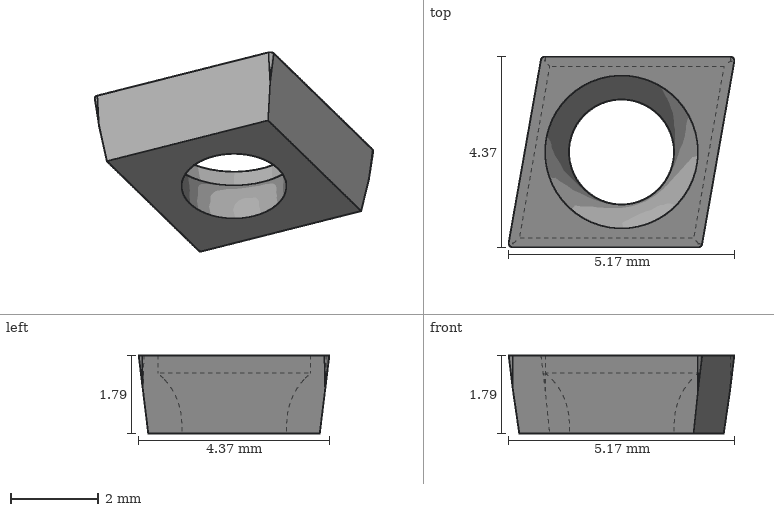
import cadquery as cq
import math

inscribed_diameter = 4.37
thickness = 1.79
acute_angle = math.radians(80)
relief_angle = math.radians(7)
corner_radius = 0.1

mouth_diameter = 3.5
bore_diameter = 2.4
mouth_depth = 0.4
seat_arc_radius = 1.5

corner_depth = corner_radius / math.tan(relief_angle)


def rhombus_corners(inscribed_radius):
    """Corners of the rhombus around a circle, anticlockwise from the front left acute one."""
    half_side = inscribed_radius / math.sin(acute_angle)
    skew = inscribed_radius / math.tan(acute_angle)
    return [
        (-half_side - skew, -inscribed_radius),
        (half_side - skew, -inscribed_radius),
        (half_side + skew, inscribed_radius),
        (-half_side + skew, inscribed_radius),
    ]


def points_at(corners, height):
    """Lift plan corners to a height."""
    return [cq.Vector(x, y, height) for x, y in corners]


def planar_face(points):
    """Flat polygonal face."""
    return cq.Face.makeFromWires(cq.Wire.makePolygon(points, close=True))


def corner_cone_face(apex, start_angle, sweep_angle):
    """Conical rounding of one corner, widening from its apex to the corner radius at the top."""
    sector = cq.Solid.makeCone(
        0, corner_radius, corner_depth, apex, cq.Vector(0, 0, 1), math.degrees(sweep_angle)
    )
    sector = sector.rotate(apex, apex + cq.Vector(0, 0, 1), math.degrees(start_angle))
    return cq.Workplane(sector).faces("%CONE").val()


def make_body():
    """Rhombus with relieved flanks; each edge is rounded at the top and sharp below its cone apex."""
    top_radius = inscribed_diameter / 2
    bottom_radius = top_radius - thickness * math.tan(relief_angle)
    centers = rhombus_corners(top_radius - corner_radius)
    top_centers = points_at(centers, thickness)
    apexes = points_at(centers, thickness - corner_depth)
    bottom_corners = points_at(rhombus_corners(bottom_radius), 0)

    flank_angles = [
        -math.pi / 2,
        acute_angle - math.pi / 2,
        math.pi / 2,
        acute_angle + math.pi / 2,
    ]

    def offset_from(center, angle):
        direction = cq.Vector(math.cos(angle), math.sin(angle), 0)
        return center + direction * corner_radius

    faces = [planar_face(bottom_corners)]
    top_edges = []
    for i, angle in enumerate(flank_angles):
        following = (i + 1) % len(flank_angles)
        flank_start = offset_from(top_centers[i], angle)
        flank_end = offset_from(top_centers[following], angle)
        flank_outline = [
            bottom_corners[i],
            bottom_corners[following],
            apexes[following],
            flank_end,
            flank_start,
            apexes[i],
        ]
        faces.append(planar_face(flank_outline))

        corner_sweep = (flank_angles[following] - angle) % (2 * math.pi)
        arc_middle = offset_from(top_centers[following], angle + corner_sweep / 2)
        arc_end = offset_from(top_centers[following], angle + corner_sweep)
        faces.append(corner_cone_face(apexes[following], angle, corner_sweep))
        top_edges.append(cq.Edge.makeLine(flank_start, flank_end))
        top_edges.append(cq.Edge.makeThreePointArc(flank_end, arc_middle, arc_end))

    faces.append(cq.Face.makeFromWires(cq.Wire.assembleEdges(top_edges)))
    return cq.Workplane(cq.Solid.makeSolid(cq.Shell.makeShell(faces)))


def make_screw_hole():
    """Revolved cutter for the mouth, the convex seat and the bore it runs smoothly into."""
    mouth_radius = mouth_diameter / 2
    bore_radius = bore_diameter / 2
    arc_center_x = bore_radius + seat_arc_radius
    seat_height = math.sqrt(seat_arc_radius**2 - (arc_center_x - mouth_radius) ** 2)
    mouth_bottom = thickness - mouth_depth
    seat_bottom = mouth_bottom - seat_height
    return (
        cq.Workplane("XZ")
        .lineTo(bore_radius, 0)
        .lineTo(bore_radius, seat_bottom)
        .tangentArcPoint((mouth_radius, mouth_bottom), relative=False)
        .lineTo(mouth_radius, thickness)
        .lineTo(0, thickness)
        .close()
        .revolve(360, (0, 0), (0, 1))
    )


result = make_body().cut(make_screw_hole())